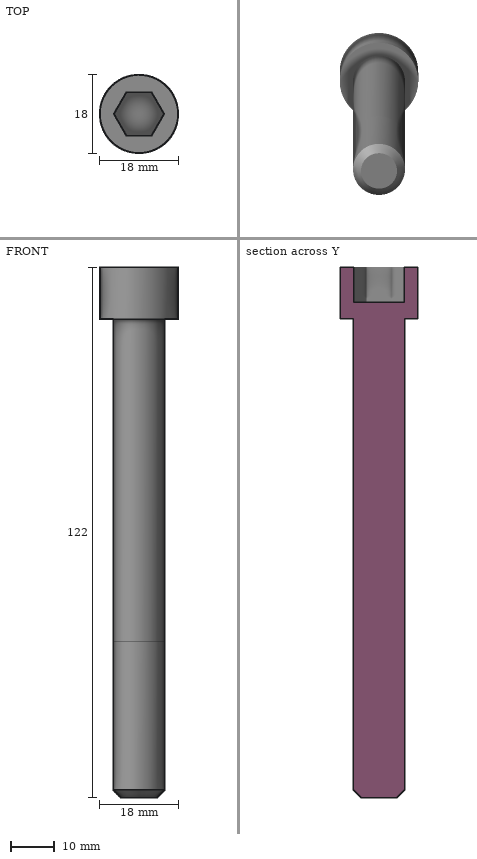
import cadquery as cq
import math

total_length = 122.0
head_diameter = 18.0
shank_diameter = 12.0
head_height = shank_diameter
thread_length = 36.0
tip_chamfer = 1.8
socket_across_flats = 10.0
socket_depth = 8.0

shank_length = total_length - head_height
plain_length = shank_length - thread_length


def make_threaded_end():
    """Threaded end simplified to a cylinder, with its tip at Z = 0."""
    end = cq.Workplane("XY").circle(shank_diameter / 2).extrude(thread_length)
    return end.faces("<Z").chamfer(tip_chamfer)


def make_plain_shank():
    plane = cq.Workplane("XY").workplane(offset=thread_length)
    return plane.circle(shank_diameter / 2).extrude(plain_length)


def make_head():
    plane = cq.Workplane("XY").workplane(offset=shank_length)
    return plane.circle(head_diameter / 2).extrude(head_height)


def make_hex_socket():
    """Hexagonal recess with two corners on the X axis."""
    across_corners = socket_across_flats / math.cos(math.pi / 6)
    plane = cq.Workplane("XY").workplane(offset=total_length - socket_depth)
    return plane.polygon(6, across_corners).extrude(socket_depth)


screw = make_threaded_end().union(make_plain_shank(), clean=False)
screw = screw.union(make_head(), clean=False)
result = screw.cut(make_hex_socket(), clean=False)